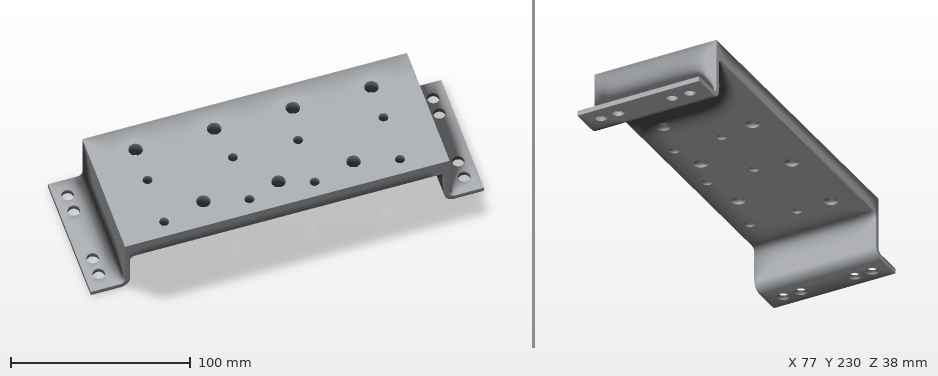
import cadquery as cq

width = 77.0
overall_length = 230.0
overall_height = 38.0

deck_length = 190.0
sheet = 3.0
core_thickness = 5.0
cover_thickness = 3.0
bend_inner_radius = 3.0
bend_outer_radius = bend_inner_radius + sheet

cover_bottom = overall_height - cover_thickness
bracket_top = cover_bottom - core_thickness
bend_start = bracket_top - bend_outer_radius

bushing_diameter = 18.0
bushing_bore = 8.0
bushing_x = 22.5
left_bushing_pitch = 46.0
left_bushing_count = 4
right_bushing_pitch = 44.0
right_bushing_count = 3

deck_hole_diameter = 5.5
deck_hole_columns = (-1.0, 29.0)
deck_hole_outer_y = 69.0
deck_hole_inner_y = 19.0

foot_hole_diameter = 7.0
foot_hole_outer_x = 28.0
foot_hole_inner_x = 17.0
foot_hole_y = 107.0


def mirrored(*distances):
    """Each distance on both sides of zero."""
    return [side * distance for distance in distances for side in (-1, 1)]


def column(x, pitch, count):
    """Points along Y at an even pitch, centred on Y = 0."""
    return [(x, (i - (count - 1) / 2) * pitch) for i in range(count)]


def grid(xs, ys):
    return [(x, y) for x in xs for y in ys]


def slab(y_size, bottom, top):
    """Full-width slab centred in plan between two heights."""
    return cq.Workplane("XY", origin=(0, 0, bottom)).rect(width, y_size).extrude(top - bottom)


def round_x_edges(solid, places, radius):
    """Round the X-direction edges at the given (|y|, z) places."""
    for y, z in places:
        for side in (-1, 1):
            solid = solid.edges(cq.selectors.NearestToPointSelector((0, side * y, z))).fillet(radius)
    return solid


def make_bracket():
    """Hat-shaped bent sheet with a foot at each end."""
    wall_outer_y = deck_length / 2
    wall_inner_y = wall_outer_y - sheet
    hat = slab(overall_length, 0, sheet).union(slab(deck_length, 0, bracket_top))
    hat = hat.cut(slab(2 * wall_inner_y, 0, bracket_top - sheet))
    inner_places = [(wall_outer_y, sheet), (wall_inner_y, bracket_top - sheet)]
    outer_places = [(wall_inner_y, 0), (wall_outer_y, bracket_top)]
    hat = round_x_edges(hat, inner_places, bend_inner_radius)
    return round_x_edges(hat, outer_places, bend_outer_radius)


def make_core(bracket):
    """Core slab whose ends reach down around the upper bends of the bracket."""
    core = slab(deck_length, bend_start, cover_bottom)
    under_bracket = slab(deck_length - 2 * sheet, bend_start, bracket_top - sheet)
    return core.cut(bracket).cut(under_bracket)


def make_bushings(points):
    plane = cq.Workplane("XY", origin=(0, 0, cover_bottom))
    return plane.pushPoints(points).circle(bushing_diameter / 2).extrude(cover_thickness)


def drill(points, diameter):
    """Cutter for vertical holes through the whole height."""
    return cq.Workplane("XY").pushPoints(points).circle(diameter / 2).extrude(overall_height)


bushing_points = column(-bushing_x, left_bushing_pitch, left_bushing_count)
bushing_points += column(bushing_x, right_bushing_pitch, right_bushing_count)
deck_hole_points = grid(deck_hole_columns, mirrored(deck_hole_outer_y, deck_hole_inner_y))
foot_hole_points = grid(mirrored(foot_hole_outer_x, foot_hole_inner_x), mirrored(foot_hole_y))

bracket = make_bracket()
core = make_core(bracket)
bushings = make_bushings(bushing_points)
cover = slab(deck_length, cover_bottom, overall_height).cut(bushings)

result = bracket
for layer in (core, cover, bushings):
    result = result.union(layer, clean=False)

result = result.cut(drill(bushing_points, bushing_bore), clean=False)
result = result.cut(drill(deck_hole_points, deck_hole_diameter), clean=False)
result = result.cut(drill(foot_hole_points, foot_hole_diameter), clean=False)